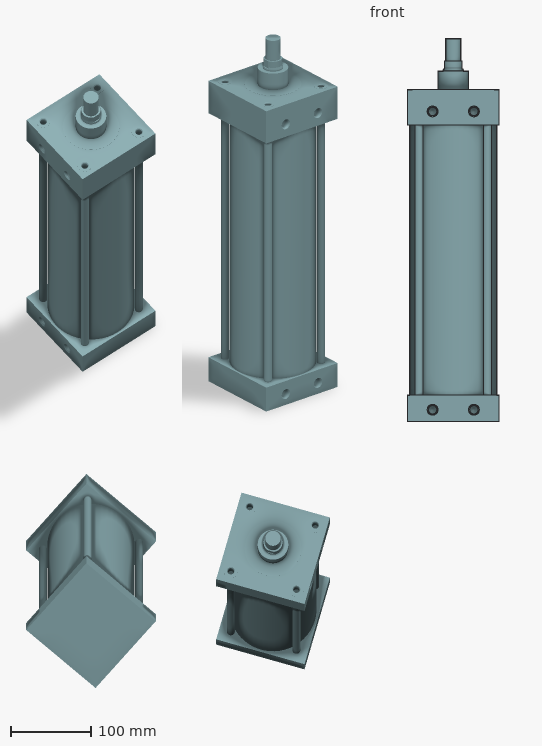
import cadquery as cq
import math

TOTAL_HEIGHT = 476.2
BLOCK_SIDE = 114.5
CAP_HEIGHT = 33.0
HEAD_BOTTOM = 368.5
HEAD_TOP = 413.0
BOSS_TOP = 436.0

BARREL_DIAMETER = 108.5
TIE_ROD_DIAMETER = 10.0
TIE_ROD_OFFSET = 42.5

BOSS_DIAMETER = 38.0
LAND_HEIGHT = 0.25
GLAND_LAND_DIAMETER = 70.5
NUT_LAND_DIAMETER = 17.5

SHANK_DIAMETER = 25.2
SHANK_LENGTH = 1.0
COLLAR_DIAMETER = 23.5
COLLAR_BOTTOM = 440.0
COLLAR_TOP = 448.5
FLATS_WIDTH = 22.0
FLATS_BOTTOM = 438.5
ROD_END_DIAMETER = 19.0

DRILL_POINT_ANGLE = 120.0
MOUNT_MOUTH_DIAMETER = 10.0
MOUNT_CORE_DIAMETER = 8.0
MOUNT_DEPTH = 19.0
PORT_MOUTH_DIAMETER = 13.5
PORT_CORE_DIAMETER = 10.5
PORT_DEPTH = 14.5
PORT_OFFSET = 25.5
CAP_PORT_Z = 15.0
HEAD_PORT_Z = 386.0

CORNERS = [(x, y) for x in (-TIE_ROD_OFFSET, TIE_ROD_OFFSET) for y in (-TIE_ROD_OFFSET, TIE_ROD_OFFSET)]


def cylinder(diameter, z_bottom, z_top, center=(0, 0)):
    plane = cq.Workplane("XY").workplane(offset=z_bottom)
    return plane.moveTo(*center).circle(diameter / 2).extrude(z_top - z_bottom)


def block(z_bottom, z_top):
    plane = cq.Workplane("XY").workplane(offset=z_bottom)
    return plane.rect(BLOCK_SIDE, BLOCK_SIDE).extrude(z_top - z_bottom)


def revolve_about_z(points):
    """Turn a closed (radius, z) outline into a solid of revolution."""
    return cq.Workplane("XZ").polyline(points).close().revolve(360, (0, 0, 0), (0, 1, 0))


def hole_cutter(mouth_diameter, core_diameter, depth):
    """Blind hole that opens at the origin and runs down -Z."""
    mouth = mouth_diameter / 2
    core = core_diameter / 2
    point_length = core / math.tan(math.radians(DRILL_POINT_ANGLE / 2))
    return revolve_about_z([
        (0, 0),
        (mouth, 0),
        (core, core - mouth),
        (core, -depth),
        (0, -depth - point_length),
    ])


def cut_ports(body, z):
    """Cut the two port holes into the -Y side at height z."""
    cutter = hole_cutter(PORT_MOUTH_DIAMETER, PORT_CORE_DIAMETER, PORT_DEPTH)
    cutter = cutter.rotate((0, 0, 0), (1, 0, 0), 90)
    for x in (-PORT_OFFSET, PORT_OFFSET):
        body = body.cut(cutter.translate((x, -BLOCK_SIDE / 2, z)))
    return body


def make_cap():
    return cut_ports(block(0, CAP_HEIGHT), CAP_PORT_Z)


def make_barrel():
    return cylinder(BARREL_DIAMETER, CAP_HEIGHT, HEAD_BOTTOM)


def make_head():
    """Head block with its boss and the four tie rods that reach down to the cap."""
    land_top = HEAD_TOP + LAND_HEIGHT
    head = block(HEAD_BOTTOM, HEAD_TOP)
    head = head.union(cylinder(GLAND_LAND_DIAMETER, HEAD_TOP, land_top))
    head = head.union(cylinder(BOSS_DIAMETER, HEAD_TOP, BOSS_TOP))
    mount_hole = hole_cutter(MOUNT_MOUTH_DIAMETER, MOUNT_CORE_DIAMETER, MOUNT_DEPTH)
    for x, y in CORNERS:
        head = head.union(cylinder(TIE_ROD_DIAMETER, CAP_HEIGHT, HEAD_BOTTOM, (x, y)))
        head = head.union(cylinder(NUT_LAND_DIAMETER, HEAD_TOP, land_top, (x, y)))
        head = head.cut(mount_hole.translate((x, y, land_top)))
    return cut_ports(head, HEAD_PORT_Z)


def make_piston_rod():
    """Stepped rod that stands on the boss, with wrench flats facing -X and +X."""
    shank = SHANK_DIAMETER / 2
    collar = COLLAR_DIAMETER / 2
    end = ROD_END_DIAMETER / 2
    rod = revolve_about_z([
        (0, BOSS_TOP),
        (shank, BOSS_TOP),
        (shank, BOSS_TOP + SHANK_LENGTH),
        (collar, COLLAR_BOTTOM),
        (collar, COLLAR_TOP),
        (end, COLLAR_TOP),
        (end, TOTAL_HEIGHT),
        (0, TOTAL_HEIGHT),
    ])
    flats_height = COLLAR_TOP - FLATS_BOTTOM
    cutter = cq.Workplane("XY").box(SHANK_DIAMETER, SHANK_DIAMETER, flats_height)
    cutter_x = (FLATS_WIDTH + SHANK_DIAMETER) / 2
    for x in (-cutter_x, cutter_x):
        rod = rod.cut(cutter.translate((x, 0, FLATS_BOTTOM + flats_height / 2)))
    return rod


cap = make_cap()
barrel = make_barrel()
head = make_head()
piston_rod = make_piston_rod()

result = cq.Compound.makeCompound([cap.val(), barrel.val(), head.val(), piston_rod.val()])